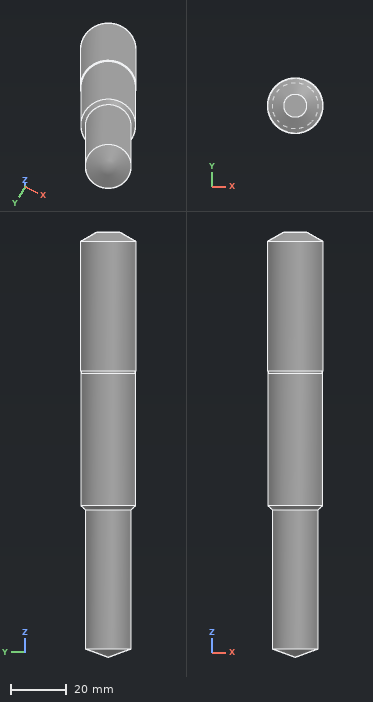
import cadquery as cq

total_height = 153.0
handle_diameter = 20.0
handle_bottom = 102.2
crown_diameter = 8.3
crown_height = 3.4

collar_diameter = 19.7
collar_bottom = 54.6
shank_diameter = 16.5
shoulder_height = 1.5
shank_bottom = 3.0

neck_height = 0.8
neck_diameter = 19.6

handle_radius = handle_diameter / 2
collar_radius = collar_diameter / 2
shank_radius = shank_diameter / 2
crown_radius = crown_diameter / 2
neck_radius = neck_diameter / 2


def revolve_profile(points):
    """Revolve a closed (radius, height) outline about the Z axis."""
    return cq.Workplane("XZ").polyline(points).close().revolve(360, (0, 0), (0, 1))


def make_handle():
    """Upper cylinder with a truncated conical crown and a short neck at its base."""
    return revolve_profile([
        (0, handle_bottom),
        (neck_radius, handle_bottom),
        (neck_radius, handle_bottom + neck_height),
        (handle_radius, handle_bottom + neck_height),
        (handle_radius, total_height - crown_height),
        (crown_radius, total_height),
        (0, total_height),
    ])


def make_stem():
    """Lower collar, sloping shoulder, narrower shank and pointed tip."""
    return revolve_profile([
        (0, 0),
        (shank_radius, shank_bottom),
        (shank_radius, collar_bottom - shoulder_height),
        (collar_radius, collar_bottom),
        (collar_radius, handle_bottom),
        (0, handle_bottom),
    ])


handle = make_handle()
stem = make_stem()

result = cq.Compound.makeCompound([handle.val(), stem.val()])